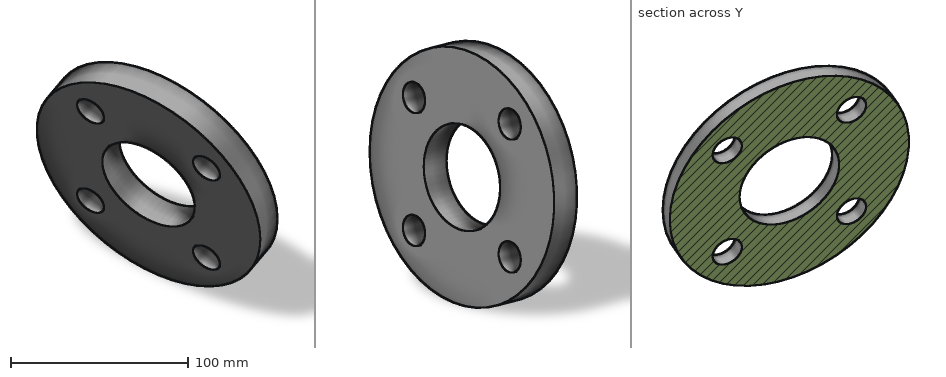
import cadquery as cq

outer_diameter = 150
thickness = 18
bore_diameter = 62.0
bolt_hole_diameter = 18
bolt_circle_diameter = 110.0
bolt_count = 4
first_bolt_angle = 45

disc = (
    cq.Workplane("XZ")
    .circle(outer_diameter / 2)
    .circle(bore_diameter / 2)
    .extrude(thickness)
)

bolt_holes = (
    cq.Workplane("XZ")
    .polarArray(bolt_circle_diameter / 2, first_bolt_angle, 360, bolt_count)
    .circle(bolt_hole_diameter / 2)
    .extrude(thickness)
)

result = disc.cut(bolt_holes)